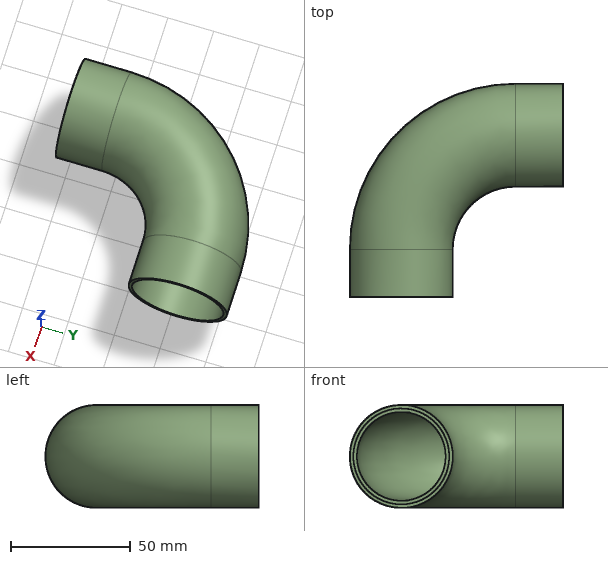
import cadquery as cq

outer_diameter = 43.0
socket_diameter = 40.0
bore_diameter = 37.0
overall_length = 89.0
socket_depth = 20.0

leg_length = socket_depth

axis_length = overall_length - outer_diameter / 2
bend_radius = axis_length - leg_length


def elbow_solid(diameter):
    """Solid round bar along the centreline, from the -Y end round to the +X end."""
    y_leg = cq.Workplane("XZ", origin=(0, -axis_length, 0)).circle(diameter / 2).extrude(-leg_length)
    bend = (
        cq.Workplane("XZ", origin=(0, -bend_radius, 0))
        .circle(diameter / 2)
        .revolve(90, (bend_radius, 1, 0), (bend_radius, 0, 0))
    )
    x_leg = cq.Workplane("YZ", origin=(bend_radius, 0, 0)).circle(diameter / 2).extrude(leg_length)
    return y_leg.union(bend).union(x_leg)


def sockets():
    """Counterbores that widen the bore at both open ends."""
    radius = socket_diameter / 2
    y_socket = cq.Workplane("XZ", origin=(0, -axis_length, 0)).circle(radius).extrude(-socket_depth)
    x_socket = cq.Workplane("YZ", origin=(axis_length, 0, 0)).circle(radius).extrude(-socket_depth)
    return y_socket.union(x_socket)


result = elbow_solid(outer_diameter).cut(elbow_solid(bore_diameter)).cut(sockets())